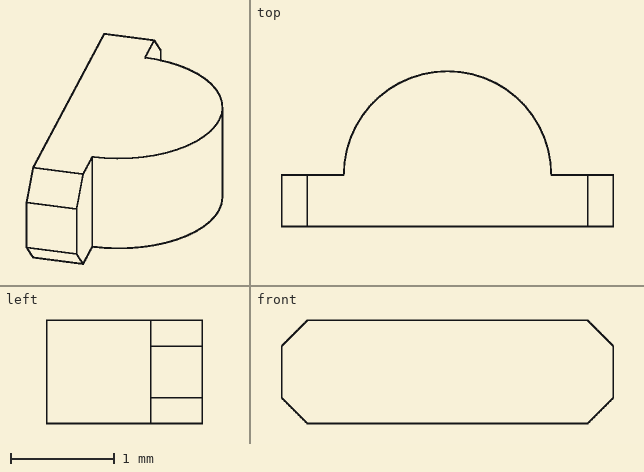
import cadquery as cq

bar_length = 3.2
total_depth = 1.5
height = 1.0
bar_depth = height / 2
corner_chamfer = height / 4
dome_radius = total_depth - bar_depth

bar = (
    cq.Workplane("XY")
    .box(bar_length, bar_depth, height, centered=(True, False, True))
    .edges("|Y")
    .chamfer(corner_chamfer)
)

dome = (
    cq.Workplane("XY", origin=(0, bar_depth, -height / 2))
    .moveTo(-dome_radius, 0)
    .threePointArc((0, dome_radius), (dome_radius, 0))
    .close()
    .extrude(height)
)

result = bar.union(dome).clean()